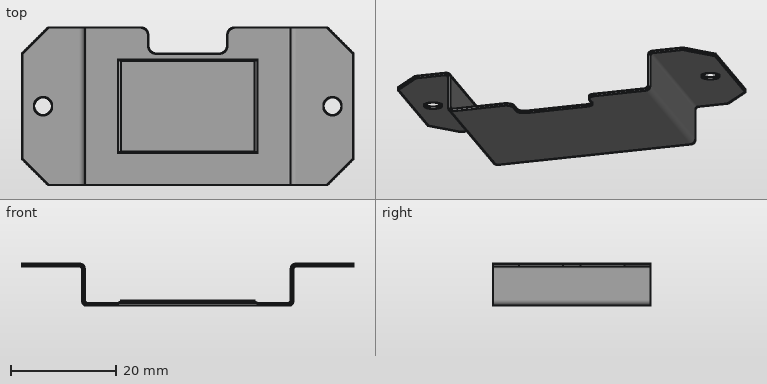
import cadquery as cq

length = 63.0
width = 30.0
height = 8.0
sheet = 0.5
inner_bend = 0.5
outer_bend = inner_bend + sheet
channel_width = 39.2

corner_cut = 5.0
hole_diameter = 3.4
hole_spacing = 55.05

notch_width = 15.0
notch_depth = 5.0
notch_radius = 1.5

pad_length = 26.45
pad_width = 17.8
pad_height = 0.5
pad_slope_x = 0.55
pad_slope_y = 0.3
pad_rim_height = 0.2

wall_inside = channel_width / 2
wall_outside = wall_inside + sheet
rear = width / 2


def bent_sheet():
    """Hat-shaped sheet with rounded bends, centred on X and Y."""
    profile = (
        cq.Workplane("XZ")
        .moveTo(-length / 2, height)
        .lineTo(-wall_inside, height)
        .lineTo(-wall_inside, sheet)
        .lineTo(wall_inside, sheet)
        .lineTo(wall_inside, height)
        .lineTo(length / 2, height)
        .lineTo(length / 2, height - sheet)
        .lineTo(wall_outside, height - sheet)
        .lineTo(wall_outside, 0)
        .lineTo(-wall_outside, 0)
        .lineTo(-wall_outside, height - sheet)
        .lineTo(-length / 2, height - sheet)
        .close()
    )
    body = profile.extrude(rear, both=True)
    for side in (-1, 1):
        bends = (
            (wall_inside, height, outer_bend),
            (wall_outside, height - sheet, inner_bend),
            (wall_inside, sheet, inner_bend),
            (wall_outside, 0, outer_bend),
        )
        for x, z, radius in bends:
            edge = cq.selectors.NearestToPointSelector((side * x, 0, z))
            body = body.edges("|Y").edges(edge).fillet(radius)
    return body


def trim_flanges(body):
    """Cut the four outer corners and drill one hole in each flange."""
    outline = (
        cq.Workplane("XY")
        .rect(length, width)
        .extrude(height)
        .edges("|Z")
        .chamfer(corner_cut)
    )
    holes = (
        cq.Workplane("XY")
        .pushPoints([(-hole_spacing / 2, 0), (hole_spacing / 2, 0)])
        .circle(hole_diameter / 2)
        .extrude(height)
    )
    return body.intersect(outline).cut(holes)


def cut_notch(body):
    """Cut the rear notch and round its two inside and two outside corners."""
    notch = (
        cq.Workplane("XY")
        .center(0, rear - notch_depth / 2)
        .rect(notch_width, notch_depth)
        .extrude(sheet)
    )
    body = body.cut(notch)
    for side in (-1, 1):
        for y in (rear, rear - notch_depth):
            corner = cq.selectors.NearestToPointSelector((side * notch_width / 2, y, sheet / 2))
            body = body.edges("|Z").edges(corner).fillet(notch_radius)
    return body


def raised_pad():
    """Pad standing on the floor: sloping sides below a short upright rim."""
    top_length = pad_length - 2 * pad_slope_x
    top_width = pad_width - 2 * pad_slope_y
    slope = (
        cq.Workplane("XY")
        .workplane(offset=sheet)
        .rect(pad_length, pad_width)
        .workplane(offset=pad_height - pad_rim_height)
        .rect(top_length, top_width)
        .loft(ruled=True)
    )
    return slope.faces(">Z").workplane().rect(top_length, top_width).extrude(pad_rim_height)


bracket = cut_notch(trim_flanges(bent_sheet()))
result = bracket.union(raised_pad())